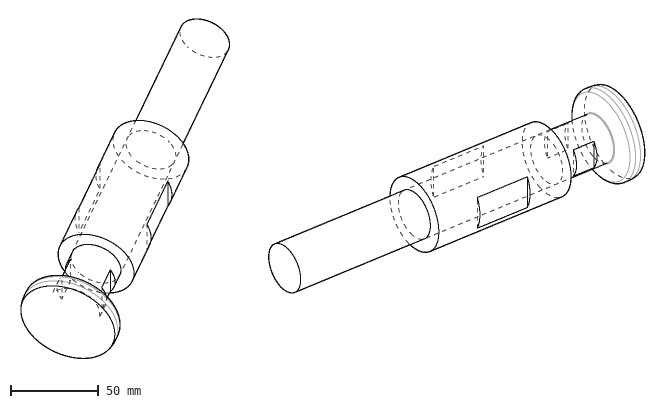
import cadquery as cq
import math

total_length = 237.0
rod_radius = 30.0 / 2
head_radius = 58.0 / 2
face_radius = 28.5
rim_front = 3.5
rim_back = 7.0
corner_radius = 2.8
dome_edge_slope = 22.0
neck_y = 11.8
neck_fillet = 0.5
rod_flat_start = 24.2
rod_flat_length = 14.7
rod_flat_width = 24.2

sleeve_radius = 46.0 / 2
sleeve_start = 48.8
sleeve_length = 95.0
sleeve_flat_length = 36.0
sleeve_flat_width = 41.0


def cut_wrench_flats(body, radius, start, length, across):
    """Cut one flat on each X side of a round body that lies along Y."""
    depth = radius - across / 2
    for side in (-1, 1):
        cutter = cq.Workplane("XY").box(depth, length, 2 * radius)
        place = (side * (across + depth) / 2, start + length / 2, 0)
        body = body.cut(cutter.translate(place))
    return body


def make_plunger():
    """Revolve the rod and its head, then cut the wrench flats in the rod."""
    turn = math.radians(90 - dome_edge_slope)
    corner_center = head_radius - corner_radius
    dome_edge_x = corner_center + corner_radius * math.cos(turn)
    dome_edge_y = rim_back + corner_radius * math.sin(turn)
    corner_mid_x = corner_center + corner_radius * math.cos(turn / 2)
    corner_mid_y = rim_back + corner_radius * math.sin(turn / 2)

    inset = head_radius - face_radius
    front_arc_radius = (inset**2 + rim_front**2) / (2 * inset)
    half_angle = math.asin(rim_front / front_arc_radius) / 2
    front_mid_x = head_radius - front_arc_radius * (1 - math.cos(half_angle))
    front_mid_y = rim_front - front_arc_radius * math.sin(half_angle)

    fillet_center_x = rod_radius + neck_fillet
    fillet_center_y = neck_y + neck_fillet
    fillet_offset = neck_fillet * math.sqrt(0.5)

    profile = (
        cq.Workplane("XY")
        .lineTo(face_radius, 0)
        .threePointArc((front_mid_x, front_mid_y), (head_radius, rim_front))
        .lineTo(head_radius, rim_back)
        .threePointArc((corner_mid_x, corner_mid_y), (dome_edge_x, dome_edge_y))
        .tangentArcPoint((fillet_center_x, neck_y), relative=False)
        .threePointArc(
            (fillet_center_x - fillet_offset, fillet_center_y - fillet_offset),
            (rod_radius, fillet_center_y),
        )
        .lineTo(rod_radius, total_length)
        .lineTo(0, total_length)
        .close()
    )
    plunger = profile.revolve(360, (0, 0, 0), (0, 1, 0))
    return cut_wrench_flats(plunger, rod_radius, rod_flat_start, rod_flat_length, rod_flat_width)


def make_sleeve():
    """Build the tube that fits the rod, with flats midway along its length."""
    ring = cq.Workplane("XZ").circle(sleeve_radius).circle(rod_radius)
    sleeve = ring.extrude(-sleeve_length).translate((0, sleeve_start, 0))
    flat_start = sleeve_start + (sleeve_length - sleeve_flat_length) / 2
    return cut_wrench_flats(sleeve, sleeve_radius, flat_start, sleeve_flat_length, sleeve_flat_width)


plunger = make_plunger()
sleeve = make_sleeve()

result = cq.Compound.makeCompound([plunger.solids().val(), sleeve.solids().val()])